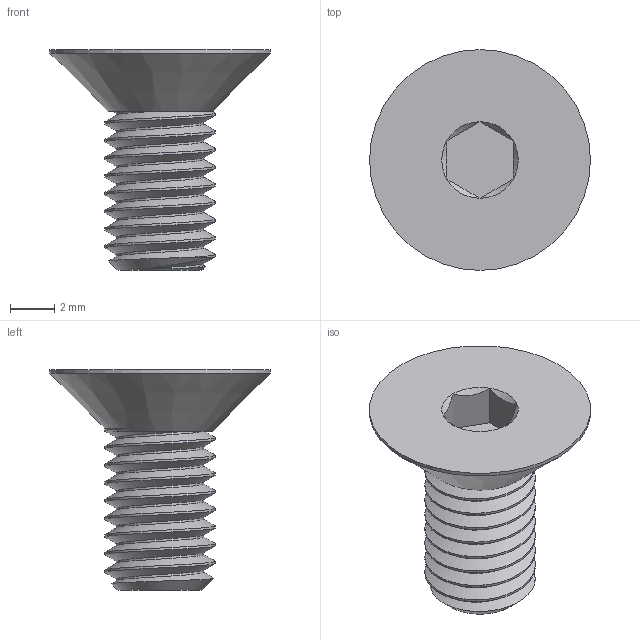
import cadquery as cq
import math


length = 10.0
head_diameter = 10.0
rim_height = 0.16
head_height = 2.8

major_diameter = 5.0
pitch = 0.8
flank_angle = math.radians(30)
crest_width = pitch / 8
root_width = pitch / 8
crest_z_at_plus_x = -3.73
tip_chamfer = 0.6

socket_across_flats = 3.0
socket_depth = 1.92

head_radius = head_diameter / 2
head_base_radius = head_radius - (head_height - rim_height)
major_radius = major_diameter / 2
tip_radius = major_radius - tip_chamfer

ridge_base_width = pitch - root_width
thread_depth = (ridge_base_width - crest_width) / 2 / math.tan(flank_angle)
minor_radius = major_radius - thread_depth

thread_top = -head_height / 2
overrun_turns = 3
core_bottom = -length - overrun_turns * pitch
sleeve_bore_radius = 1.0
core_radius = 1.5


def make_head():
    """Countersunk head: thin cylindrical rim above a 45 degree cone."""
    profile = [
        (0, 0),
        (head_radius, 0),
        (head_radius, -rim_height),
        (head_base_radius, -head_height),
        (0, -head_height),
    ]
    return cq.Workplane("XZ").polyline(profile).close().revolve(360, (0, 0), (0, 1))


def helix_wire(radius, z):
    """One right-hand turn of the thread helix, starting above the +X axis."""
    return cq.Wire.makeHelix(pitch, pitch, radius, center=cq.Vector(0, 0, z))


def make_end_face(outline, z):
    """Flat radial face that closes the thread sleeve at one end of the helix."""
    corners = [cq.Vector(radius, 0, z + height) for radius, height in outline]
    return cq.Face.makeFromWires(cq.Wire.makePolygon(corners, close=True))


def make_thread_sleeve():
    """Hollow threaded sleeve skinned turn by turn, running past the tip and up into the head."""
    turns_below = math.ceil((crest_z_at_plus_x + length) / pitch) + 1
    start_z = crest_z_at_plus_x - turns_below * pitch
    turns = math.floor((thread_top - start_z) / pitch)
    half_base = ridge_base_width / 2
    half_crest = crest_width / 2
    outline = [
        (sleeve_bore_radius, -half_base),
        (minor_radius, -half_base),
        (major_radius, -half_crest),
        (major_radius, half_crest),
        (minor_radius, half_base),
        (minor_radius, pitch - half_base),
        (sleeve_bore_radius, pitch - half_base),
    ]
    faces = []
    for turn in range(turns):
        turn_z = start_z + turn * pitch
        wires = [helix_wire(radius, turn_z + height) for radius, height in outline]
        bottom, *thread_strips, top = zip(wires, wires[1:])
        strips = [*thread_strips, (wires[-1], wires[0])]
        if turn == 0:
            strips.append(bottom)
        if turn == turns - 1:
            strips.append(top)
        faces += [cq.Face.makeRuledSurface(lower, upper) for lower, upper in strips]
    faces.append(make_end_face(outline, start_z))
    faces.append(make_end_face(outline, start_z + turns * pitch))
    return cq.Workplane(cq.Solid.makeSolid(cq.Shell.makeShell(faces)))


def make_tip_cutter():
    """Ring-and-disc cutter that leaves a flat end face with a chamfered edge."""
    profile = [
        (0, core_bottom),
        (0, -length),
        (tip_radius, -length),
        (head_radius, -length + head_radius - tip_radius),
        (head_radius, core_bottom),
    ]
    return cq.Workplane("XZ").polyline(profile).close().revolve(360, (0, 0), (0, 1))


def make_threaded_shank():
    """Core and thread sleeve joined, then cut flat and chamfered at the tip."""
    core = (
        cq.Workplane("XY")
        .workplane(offset=core_bottom)
        .circle(core_radius)
        .extrude(thread_top - core_bottom)
    )
    return make_thread_sleeve().union(core).cut(make_tip_cutter())


def make_socket():
    """Hexagon recess with corners on the Y axis and a 45 degree conical lead-in at its mouth."""
    corner_diameter = socket_across_flats / math.cos(math.pi / 6)
    corner_radius = corner_diameter / 2
    hexagon = (
        cq.Workplane("XY")
        .transformed(rotate=(0, 0, 90))
        .polygon(6, corner_diameter)
        .extrude(-socket_depth)
    )
    cone_tip = cq.Vector(0, 0, -corner_radius)
    lead_in = cq.Workplane(cq.Solid.makeCone(0, corner_radius, corner_radius, pnt=cone_tip))
    return hexagon.union(lead_in)


result = make_head().union(make_threaded_shank()).cut(make_socket())